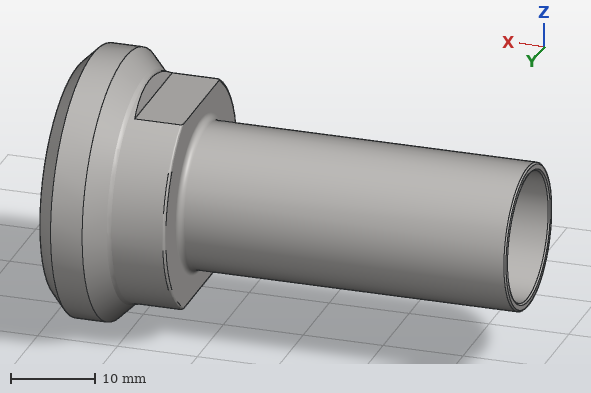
import cadquery as cq

TOTAL_LENGTH = 56.5
COLLAR_START = 41.0
FLAT_END = 47.0
RIM_CONE_START = 48.0

BORE_DIAMETER = 16.0
TUBE_DIAMETER = 18.0
COLLAR_DIAMETER = 28.0
RIM_DIAMETER = 33.1

ACROSS_FLATS = 24.0
FLAT_RUNOUT = 0.5

TUBE_END_CHAMFER = 0.2
TUBE_ROOT_FILLET = 0.8
COLLAR_EDGE_FILLET = 0.3
COLLAR_ROOT_FILLET = 0.7
RIM_CHAMFER = 2.0

BORE_RADIUS = BORE_DIAMETER / 2
TUBE_RADIUS = TUBE_DIAMETER / 2
COLLAR_RADIUS = COLLAR_DIAMETER / 2
RIM_RADIUS = RIM_DIAMETER / 2
RIM_START = RIM_CONE_START + RIM_RADIUS - COLLAR_RADIUS


def circles_at(body, x, radius):
    """Circular edges of the body centred on the axis at station x with the given radius."""
    tolerance = 0.01
    return body.edges("%CIRCLE").filter(
        lambda edge: abs(edge.Center().x - x) < tolerance and abs(edge.radius() - radius) < tolerance
    )


def turned_body():
    """Tube, collar and double-bevelled rim, revolved about the X axis around the bore."""
    profile = [
        (0, BORE_RADIUS),
        (0, TUBE_RADIUS),
        (COLLAR_START, TUBE_RADIUS),
        (COLLAR_START, COLLAR_RADIUS),
        (RIM_CONE_START, COLLAR_RADIUS),
        (RIM_START, RIM_RADIUS),
        (TOTAL_LENGTH - RIM_CHAMFER, RIM_RADIUS),
        (TOTAL_LENGTH, RIM_RADIUS - RIM_CHAMFER),
        (TOTAL_LENGTH, BORE_RADIUS),
    ]
    return cq.Workplane("XY").polyline(profile).close().revolve(360, (0, 0, 0), (1, 0, 0))


def finish_edges(body):
    """Break the tube end and collar edges and round the two inside corners."""
    for radius in (BORE_RADIUS, TUBE_RADIUS):
        body = circles_at(body, 0, radius).chamfer(TUBE_END_CHAMFER)
    body = circles_at(body, COLLAR_START, TUBE_RADIUS).fillet(TUBE_ROOT_FILLET)
    body = circles_at(body, COLLAR_START, COLLAR_RADIUS).fillet(COLLAR_EDGE_FILLET)
    return circles_at(body, RIM_CONE_START, COLLAR_RADIUS).fillet(COLLAR_ROOT_FILLET)


def flat_cutter():
    """Wedge-ended block that mills the upper wrench flat across the collar."""
    flat_height = ACROSS_FLATS / 2
    section = [
        (COLLAR_START, flat_height),
        (FLAT_END, flat_height),
        (FLAT_END + FLAT_RUNOUT, COLLAR_RADIUS),
        (COLLAR_START, COLLAR_RADIUS),
    ]
    return cq.Workplane("XZ").polyline(section).close().extrude(COLLAR_RADIUS, both=True)


upper_cutter = flat_cutter()
lower_cutter = upper_cutter.mirror("XY")
result = finish_edges(turned_body()).cut(upper_cutter).cut(lower_cutter)